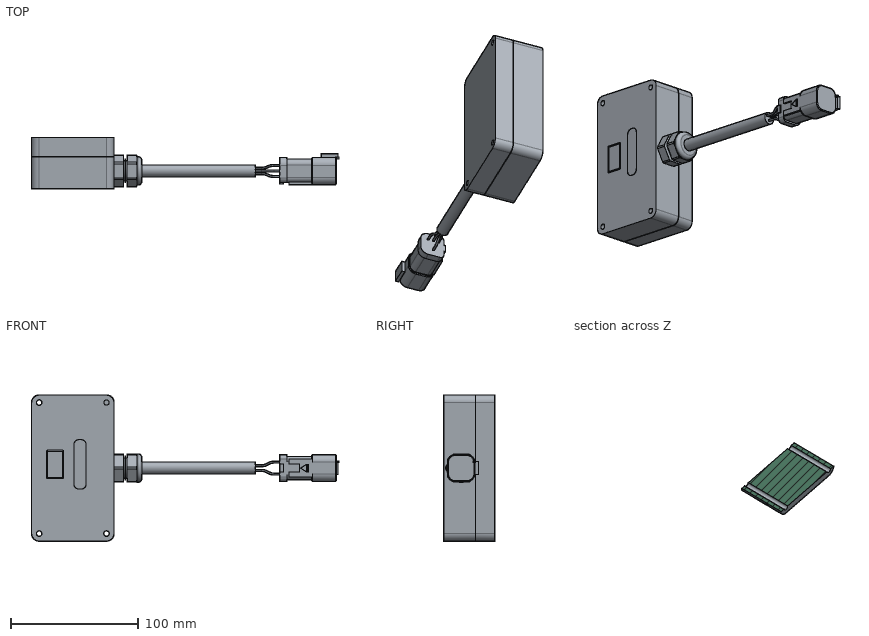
import cadquery as cq
import math


BOX_WIDTH = 65.0
BOX_DEPTH = 40.3
BOX_HEIGHT = 115.0
BOX_CORNER_RADIUS = 6.0
SEAM_Y = 25.0
SEAM_WIDTH = 0.2
SEAM_DEPTH = 0.2
HOLE_DIAMETER = 4.0
HOLE_INSET = 6.0
MARK_DEPTH = 0.2
SLOT_X = 38.1
SLOT_Z = 3.0
SLOT_WIDTH = 9.7
SLOT_LENGTH = 38.9
SLOT_CORNER_RADIUS = 4.0
FRAME_X = 18.5
FRAME_Z = 3.0
FRAME_WIDTH = 13.5
FRAME_HEIGHT = 22.2
FRAME_LINE = 1.0

AXIS_Y = 14.0
HEX_FLATS = 22.2
HEX_CORNER_DIAMETER = 24.9
GLAND_BODY_END = 72.5
GLAND_NUT_START = 75.0
GLAND_NUT_END = 82.8
GLAND_CAP_END = 86.7
GLAND_CAP_DIAMETER = 22.5
GLAND_CAP_RADIUS = 3.0
GLAND_NUT_CHAMFER = 0.5
GLAND_NECK_DIAMETER = 16.2
GLAND_RING_DIAMETER = 18.5
GLAND_RING_WIDTH = 0.5
CABLE_DIAMETER = 9.7
CABLE_END = 175.7

WIRE_DIAMETER = 1.7
WIRE_BEND_START = 180.5
WIRE_BEND_END = 190.5
WIRE_PITCH_Y_CABLE = 2.2
WIRE_PITCH_Y_PLUG = 4.3
WIRE_OFFSET_Z_CABLE = 1.8
WIRE_OFFSET_Z_PLUG = 4.7
WIRE_EMBED = 1.2
WIRE_PLACES = [(-1, 1), (0, 1), (1, 1), (0, -1)]

PLUG_START = 194.8
FLANGE_END = 200.4
FLANGE_HALF_HEIGHT = 10.6
FLANGE_FRONT = 9.2
FLANGE_BACK = 10.6
FLANGE_FRONT_RADIUS = 3.6
FLANGE_BACK_RADIUS = 6.3
FLANGE_TAB_LENGTH = 3.0
FLANGE_TAB_FRONT = 10.5
NECK_HALF_HEIGHT = 9.2
NECK_FRONT = 9.2
NECK_BACK = 9.5
NECK_FRONT_RADIUS = 3.9
NECK_BACK_RADIUS = 4.5
SHELL_START = 220.0
SHELL_END = 239.2
SHELL_HALF_HEIGHT = 10.6
SHELL_FRONT = 10.9
SHELL_BACK = 10.6
SHELL_FRONT_RADIUS = 5.8
SHELL_BACK_RADIUS = 6.3
SHELL_CHAMFER = 0.7
PLATE_START = 202.0
PLATE_HALF_HEIGHT = 7.0
NOTCH_END = 210.5
NOTCH_HALF_HEIGHT = 3.1
ARROW_TIP = 211.2
ARROW_BASE = 215.8
ARROW_HALF_HEIGHT = 3.0
BAR_START = 216.8
BAR_WIDTH = 0.5
LATCH_START = 227.5
LATCH_END = 240.7
LATCH_BACK = 13.5
LATCH_HALF_HEIGHT = 5.0
HOOK_END = 241.5
HOOK_FRONT = 9.2
HOOK_BACK = 11.0
HOOK_Z = 4.8
HOOK_WIDTH = 1.2


def block(x_range, y_range, z_range):
    """Box given by its (low, high) limits along each axis."""
    size = [high - low for low, high in (x_range, y_range, z_range)]
    corner = cq.Vector(x_range[0], y_range[0], z_range[0])
    return cq.Workplane("XY").box(*size, centered=False).translate(corner)


def cylinder(start, end, diameter):
    """Round bar on the cable axis between two X positions."""
    plane = cq.Workplane("YZ", origin=(start, AXIS_Y, 0))
    return plane.circle(diameter / 2).extrude(end - start)


def hexagon(start, end):
    """Hexagon on the cable axis with flats facing up and down and its corners turned round."""
    across_corners = HEX_FLATS / math.cos(math.pi / 6)
    plane = cq.Workplane("YZ", origin=(start, AXIS_Y, 0))
    prism = plane.polygon(6, across_corners).extrude(end - start)
    return prism.intersect(cylinder(start, end, HEX_CORNER_DIAMETER))


def front_plane(y):
    """Sketch plane facing the front (-Y), with X to the right and Z up."""
    return cq.Workplane("XZ", origin=(0, y, 0))


def rounded_bar(x_range, front, back, half_height, front_radius, back_radius):
    """Length of the plug with its front and back corners rounded by separate radii."""
    bar = block(x_range, (AXIS_Y - front, AXIS_Y + back), (-half_height, half_height))
    bar = bar.faces("<Y").edges("|X").fillet(front_radius)
    return bar.faces(">Y").edges("|X").fillet(back_radius)


def rounded_panel(x, z, width, height, radius):
    """Shallow rounded rectangle reaching into the front of the box."""
    panel = front_plane(0).center(x, z).rect(width, height).extrude(-MARK_DEPTH)
    return panel.edges("|Y").fillet(radius)


def make_box():
    half_height = BOX_HEIGHT / 2
    box = block((0, BOX_WIDTH), (0, BOX_DEPTH), (-half_height, half_height))
    box = box.edges("|Y").fillet(BOX_CORNER_RADIUS)

    seam_plane = front_plane(SEAM_Y - SEAM_WIDTH / 2).center(BOX_WIDTH / 2, 0)
    core_width = BOX_WIDTH - 2 * SEAM_DEPTH
    core_height = BOX_HEIGHT - 2 * SEAM_DEPTH
    seam = seam_plane.rect(BOX_WIDTH, BOX_HEIGHT).extrude(-SEAM_WIDTH)
    core = seam_plane.rect(core_width, core_height).extrude(-SEAM_WIDTH)
    core = core.edges("|Y").fillet(BOX_CORNER_RADIUS - SEAM_DEPTH)
    box = box.cut(seam.cut(core))

    right = BOX_WIDTH - HOLE_INSET
    top = half_height - HOLE_INSET
    through = front_plane(0).pushPoints([(HOLE_INSET, top), (HOLE_INSET, -top), (right, -top)])
    box = box.cut(through.circle(HOLE_DIAMETER / 2).extrude(-BOX_DEPTH))
    blind = front_plane(0).center(right, top)
    box = box.cut(blind.circle(HOLE_DIAMETER / 2).extrude(-SEAM_Y))

    box = box.cut(rounded_panel(SLOT_X, SLOT_Z, SLOT_WIDTH, SLOT_LENGTH, SLOT_CORNER_RADIUS))
    frame = rounded_panel(FRAME_X, FRAME_Z, FRAME_WIDTH, FRAME_HEIGHT, FRAME_LINE)
    inside = front_plane(0).center(FRAME_X, FRAME_Z)
    inside = inside.rect(FRAME_WIDTH - 2 * FRAME_LINE, FRAME_HEIGHT - 2 * FRAME_LINE).extrude(-MARK_DEPTH)
    return box.cut(frame.cut(inside))


def make_gland():
    gland = hexagon(BOX_WIDTH, GLAND_BODY_END)

    nut = hexagon(GLAND_NUT_START, GLAND_NUT_END)
    turned = cylinder(GLAND_NUT_START, GLAND_NUT_END, HEX_CORNER_DIAMETER)
    gland = gland.union(nut.intersect(turned.faces(">X").chamfer(GLAND_NUT_CHAMFER)))

    cap = cylinder(GLAND_NUT_END, GLAND_CAP_END, GLAND_CAP_DIAMETER)
    gland = gland.union(cap.faces(">X").edges().fillet(GLAND_CAP_RADIUS))

    gland = gland.union(cylinder(GLAND_BODY_END, GLAND_NUT_START, GLAND_NECK_DIAMETER))
    ring_start = (GLAND_BODY_END + GLAND_NUT_START - GLAND_RING_WIDTH) / 2
    return gland.union(cylinder(ring_start, ring_start + GLAND_RING_WIDTH, GLAND_RING_DIAMETER))


def make_wire(column, row):
    """One wire spreading from the cable end to its place on the plug in an S bend."""
    cable_y = AXIS_Y + column * WIRE_PITCH_Y_CABLE
    plug_y = AXIS_Y + column * WIRE_PITCH_Y_PLUG
    start = cq.Vector(CABLE_END - WIRE_EMBED, cable_y, row * WIRE_OFFSET_Z_CABLE)
    end = cq.Vector(PLUG_START + WIRE_EMBED, plug_y, row * WIRE_OFFSET_Z_PLUG)
    bend_start = cq.Vector(WIRE_BEND_START, start.y, start.z)
    bend_end = cq.Vector(WIRE_BEND_END, end.y, end.z)
    along = cq.Vector(1, 0, 0)
    path = cq.Wire.assembleEdges([
        cq.Edge.makeLine(start, bend_start),
        cq.Edge.makeSpline([bend_start, bend_end], tangents=[along, along]),
        cq.Edge.makeLine(bend_end, end),
    ])
    profile = cq.Workplane("YZ", origin=start.toTuple()).circle(WIRE_DIAMETER / 2)
    return profile.sweep(cq.Workplane(path))


def make_plug():
    plug = rounded_bar(
        (PLUG_START, FLANGE_END),
        FLANGE_FRONT,
        FLANGE_BACK,
        FLANGE_HALF_HEIGHT,
        FLANGE_FRONT_RADIUS,
        FLANGE_BACK_RADIUS,
    )
    neck = rounded_bar(
        (FLANGE_END, SHELL_START),
        NECK_FRONT,
        NECK_BACK,
        NECK_HALF_HEIGHT,
        NECK_FRONT_RADIUS,
        NECK_BACK_RADIUS,
    )
    shell = rounded_bar(
        (SHELL_START, SHELL_END),
        SHELL_FRONT,
        SHELL_BACK,
        SHELL_HALF_HEIGHT,
        SHELL_FRONT_RADIUS,
        SHELL_BACK_RADIUS,
    )
    plug = plug.union(neck).union(shell.faces("<X or >X").chamfer(SHELL_CHAMFER))

    tab_depth = (AXIS_Y - FLANGE_TAB_FRONT, AXIS_Y)
    tab_height = (-NOTCH_HALF_HEIGHT, NOTCH_HALF_HEIGHT)
    plug = plug.union(block((PLUG_START, PLUG_START + FLANGE_TAB_LENGTH), tab_depth, tab_height))

    plate_front = AXIS_Y - SHELL_FRONT
    plate_height = (-PLATE_HALF_HEIGHT, PLATE_HALF_HEIGHT)
    plate = block((PLATE_START, SHELL_START + SHELL_CHAMFER), (plate_front, AXIS_Y), plate_height)
    notch = block((PLATE_START, NOTCH_END), (plate_front, AXIS_Y - NECK_FRONT), tab_height)
    plug = plug.union(plate.cut(notch))

    arrow_points = [(ARROW_TIP, 0), (ARROW_BASE, ARROW_HALF_HEIGHT), (ARROW_BASE, -ARROW_HALF_HEIGHT)]
    arrow = front_plane(plate_front).polyline(arrow_points).close().extrude(-MARK_DEPTH)
    bar = block(
        (BAR_START, BAR_START + BAR_WIDTH),
        (plate_front, plate_front + MARK_DEPTH),
        (-ARROW_HALF_HEIGHT, ARROW_HALF_HEIGHT),
    )
    plug = plug.cut(arrow).cut(bar)

    latch_height = (-LATCH_HALF_HEIGHT, LATCH_HALF_HEIGHT)
    latch_depth = (AXIS_Y + SHELL_BACK, AXIS_Y + LATCH_BACK)
    hook_height = (HOOK_Z - HOOK_WIDTH / 2, HOOK_Z + HOOK_WIDTH / 2)
    hook_start = LATCH_END - HOOK_WIDTH
    plug = plug.union(block((LATCH_START, LATCH_END), latch_depth, latch_height))
    return plug.union(block((hook_start, HOOK_END), (AXIS_Y + HOOK_FRONT, AXIS_Y + HOOK_BACK), hook_height))


result = make_box().union(make_gland()).union(cylinder(GLAND_CAP_END, CABLE_END, CABLE_DIAMETER))
result = result.union(make_plug())
for column, row in WIRE_PLACES:
    result = result.union(make_wire(column, row))